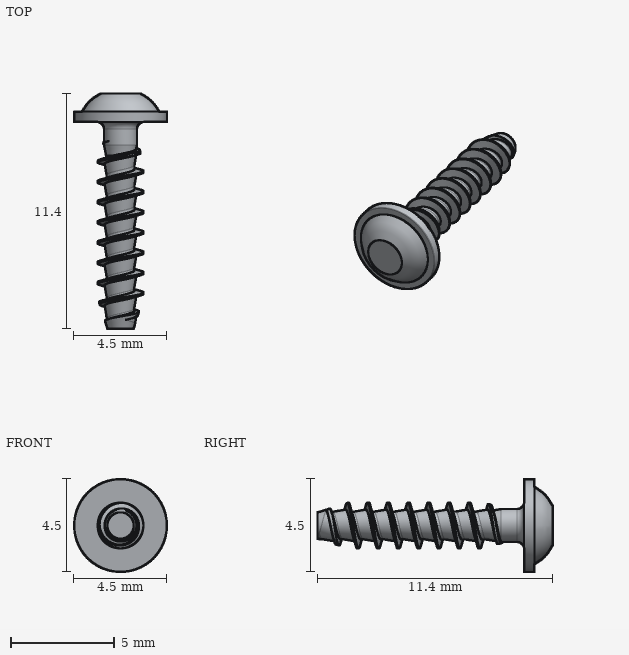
import cadquery as cq


total_length = 11.4
flange_diameter = 4.5
flange_top = 0.89
flange_bottom = 1.39
flange_edge_round = 0.02
dome_top_radius = 0.95
dome_base_radius = 1.88
dome_curve_radius = 2.05

shank_radius = 0.804
shank_end = 2.51
neck_fillet = 0.34
taper_end = 3.02
taper_end_radius = 0.71

pitch = 0.98
crest_radius = 1.11
crest_width = 0.07
core_top_radius = 0.68
core_tip_radius = 0.667
core_step_radius = 0.78
root_end_radius = 0.655
buried_radius = 0.57
head_flank_length = 0.14
tip_flank_length = 0.11
turn_gap = 0.03
crest_position = 5.76
turns_before_position = 5
turn_count = 12

run_in_start = 2.28
run_in_radius = 0.792
run_in_cone_end = 3.68
tip_cone_start = 9.55
tip_radius = 0.64
envelope_radius = crest_radius + 0.11


def make_head_and_shank():
    """Revolve the domed head, flange, filleted neck, plain shank and short taper below it."""
    flange_radius = flange_diameter / 2
    head = (
        cq.Workplane("XZ")
        .moveTo(0, 0)
        .lineTo(dome_top_radius, 0)
        .radiusArc((dome_base_radius, flange_top), -dome_curve_radius)
        .lineTo(flange_radius - flange_edge_round, flange_top)
        .radiusArc((flange_radius, flange_top + flange_edge_round), -flange_edge_round)
        .lineTo(flange_radius, flange_bottom - flange_edge_round)
        .radiusArc((flange_radius - flange_edge_round, flange_bottom), -flange_edge_round)
        .lineTo(shank_radius + neck_fillet, flange_bottom)
        .radiusArc((shank_radius, flange_bottom + neck_fillet), neck_fillet)
        .lineTo(shank_radius, shank_end)
        .lineTo(taper_end_radius, taper_end)
        .lineTo(0, taper_end)
        .close()
    )
    return head.revolve(360, (0, 0, 0), (0, 1, 0))


def make_thread():
    """Sweep one thread ridge and its tapering root along a right-handed helix."""
    start = crest_position - turns_before_position * pitch
    root_end = start + pitch - head_flank_length - turn_gap
    helix = cq.Wire.makeHelix(pitch, turn_count * pitch, crest_radius).translate(cq.Vector(0, 0, start))
    profile = [
        (buried_radius, start - head_flank_length),
        (root_end_radius, start - head_flank_length),
        (crest_radius, start - crest_width / 2),
        (crest_radius, start + crest_width / 2),
        (core_step_radius, start + tip_flank_length),
        (root_end_radius, root_end),
        (buried_radius, root_end),
    ]
    return cq.Workplane("XZ").polyline(profile).close().sweep(cq.Workplane(helix), isFrenet=True)


def make_envelope():
    """Revolve the limits where the thread rises from the shank and fades at the tip."""
    outline = [
        (0, run_in_start),
        (run_in_radius, run_in_start),
        (envelope_radius, run_in_cone_end),
        (envelope_radius, tip_cone_start),
        (tip_radius, total_length),
        (0, total_length),
    ]
    return cq.Workplane("XZ").polyline(outline).close().revolve(360, (0, 0, 0), (0, 1, 0))


def make_threaded_shaft():
    """Join the thread to a slightly tapered core and trim both ends."""
    outline = [
        (0, run_in_start),
        (core_top_radius, run_in_start),
        (core_tip_radius, total_length),
        (0, total_length),
    ]
    core = cq.Workplane("XZ").polyline(outline).close().revolve(360, (0, 0, 0), (0, 1, 0))
    return core.union(make_thread()).intersect(make_envelope())


screw = make_head_and_shank().union(make_threaded_shaft())
result = screw.rotate((0, 0, 0), (1, 0, 0), 90).translate((0, total_length / 2, 0))